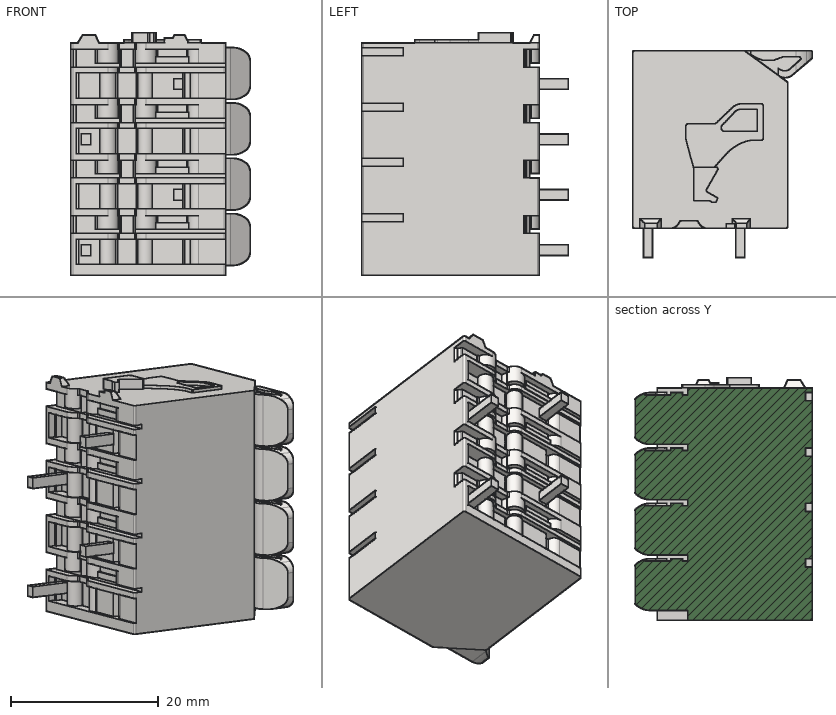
import cadquery as cq

poles = 4
pitch = 7.5
floor_top = 1.5
body_width = 21.0
body_depth = 24.05
body_height = poles * pitch + floor_top
total_height = 32.85
edge_radius = 0.25
overlap = 0.33

rim_bottom = 4.93
rim_top = 5.7
boss_bottom = 6.27
ledge_top = 7.13
recess_top = pitch + 0.62

column_xs = (5.03, 10.18, 17.25)
pocket_column_radius = 2.2 / 2
pocket_column_setback = 0.33
column_y = pocket_column_setback + pocket_column_radius
boss_radius = column_y
left_column_x, middle_column_x, right_column_x = column_xs

deep_wall_y = 1.9
recess_wall_y = 1.28
side_notch = [(0, 2.1), (0.35, 1.87), (0.35, 1.77), (0.62, 1.55), (0.8, recess_wall_y)]
pocket_left_x = 0.75
pocket_lip = 0.33
pocket_lip_y = 1.0
pocket_pad_left_x, pocket_pad_right_x = 6.35, 8.87
pocket_pad_y = 1.75
pocket_middle_left_x = 11.05
pocket_middle_wall_y = 0.62
niche_left_x = 15.15
niche_taper = 0.25
niche_wall_y = 1.35
groove_left_x = 6.65
groove_right_x = 8.7
groove_wall_y = 2.05
groove_taper = 0.23
notch_y = 1.05
notch_bevel_start_y = 0.9
notch_left_x, notch_right_x = 6.6, 8.65
notch_bevel_width = 0.25
boss_shoulder_x = 3.32
boss_shoulder_y = 1.12
block_left_x, block_right_x = 11.5, 16.0
block_lower_y, block_upper_y = 0.6, 0.82
block_step = 0.3

slot_start_y = 18.4
slot_bottom = 7.25
slot_height = 1.1
slot_depth = 0.92

pin_width = 1.25
pin_height = 1.48
pin_bottom = 2.7
pin_length = 3.95
pin_root_y = 2.25
pin_left_xs = (1.45, 13.93)

corner_start_x = 15.1
corner_end_y = 19.78
lever_tip_x = 24.3
lever_bottom = 1.35
lever_height = 7.03
lever_round_x = 22.05
lever_nose_x = 23.45
lever_shoulder_drop = 0.45
lever_shoulder_mid = (22.8, 0.13)
lever_nose_mid = (24.08, 1.05)
lever_tip_bevel = 0.15
lever_nose_drop = 1.85
lever_pocket_depth = 0.33

door_height = 0.43
leg_height = total_height - body_height
lug_height = 1.1
lug_base_depth, lug_top_depth = 1.28, 0.72
step_lug_height = 0.7
step_lug_depth = 0.62


def box(x0, x1, y0, y1, z0, z1):
    return cq.Workplane("XY").box(x1 - x0, y1 - y0, z1 - z0, centered=False).translate((x0, y0, z0))


def prism(points, z0, z1):
    return cq.Workplane("XY").workplane(offset=z0).polyline(points).close().extrude(z1 - z0)


def column(x, radius, z0, z1):
    return cq.Workplane("XY").workplane(offset=z0).center(x, column_y).circle(radius).extrude(z1 - z0)


def body_block():
    """Block with rounded upright edges and the back right corner cut off."""
    block = box(0, body_width, 0, body_depth, 0, body_height).edges("|Z").fillet(edge_radius)
    corner = [
        (corner_start_x, body_depth),
        (body_width, corner_end_y),
        (body_width + overlap, corner_end_y),
        (body_width + overlap, body_depth + overlap),
        (corner_start_x, body_depth + overlap),
    ]
    return block.cut(prism(corner, -overlap, body_height + overlap))


def plate_notch():
    """Gap between two bosses that runs through every plate above the lowest floor."""
    outline = [
        (left_column_x, -overlap),
        (left_column_x, notch_bevel_start_y),
        (notch_left_x - notch_bevel_width, notch_bevel_start_y),
        (notch_left_x, notch_y),
        (notch_right_x, notch_y),
        (notch_right_x + notch_bevel_width, notch_bevel_start_y),
        (middle_column_x, notch_bevel_start_y),
        (middle_column_x, -overlap),
    ]
    notch = prism(outline, floor_top, body_height + overlap)
    for x in (left_column_x, middle_column_x):
        notch = notch.cut(column(x, boss_radius, floor_top, body_height + overlap))
    return notch


def terminal_pocket():
    """Lower cavity of a pole, with its round columns left standing."""
    outline = [
        (pocket_left_x, -overlap),
        (pocket_left_x, pocket_lip_y),
        (pocket_left_x + pocket_lip, pocket_lip_y),
        (pocket_left_x + pocket_lip, deep_wall_y),
        (pocket_pad_left_x, deep_wall_y),
        (pocket_pad_left_x, pocket_pad_y),
        (pocket_pad_right_x, pocket_pad_y),
        (pocket_pad_right_x, deep_wall_y),
        (pocket_middle_left_x, deep_wall_y),
        (pocket_middle_left_x, pocket_middle_wall_y),
        (niche_left_x, pocket_middle_wall_y),
        (niche_left_x + niche_taper, niche_wall_y),
        (right_column_x, niche_wall_y),
        (right_column_x, pocket_column_setback),
        (body_width + overlap, pocket_column_setback),
        (body_width + overlap, -overlap),
    ]
    pocket = prism(outline, floor_top, rim_bottom)
    for x in column_xs:
        pocket = pocket.cut(column(x, pocket_column_radius, floor_top, rim_bottom))
    return pocket


def upper_recess():
    """Upper cavity of a pole, with the bosses hanging from the plate above."""
    outline = [
        (-overlap, -overlap),
        (-overlap, side_notch[0][1]),
        *side_notch,
        (groove_left_x, recess_wall_y),
        (groove_left_x + groove_taper, groove_wall_y),
        (groove_right_x - groove_taper, groove_wall_y),
        (groove_right_x, recess_wall_y),
        (body_width + overlap, recess_wall_y),
        (body_width + overlap, -overlap),
    ]
    recess = prism(outline, rim_top, recess_top)
    for x in column_xs:
        recess = recess.cut(column(x, boss_radius, boss_bottom, recess_top))
    bosses = (
        box(right_column_x, body_width + overlap, 0, deep_wall_y, boss_bottom, recess_top),
        box(boss_shoulder_x, left_column_x, boss_shoulder_y, deep_wall_y, boss_bottom, recess_top),
        box(block_left_x, block_right_x, block_lower_y, deep_wall_y, boss_bottom, ledge_top),
        box(block_left_x + block_step, block_right_x - block_step, block_upper_y, deep_wall_y,
            ledge_top, recess_top),
    )
    for boss in bosses:
        recess = recess.cut(boss)
    return recess


def side_slot():
    return box(-overlap, slot_depth, slot_start_y, body_depth + overlap, slot_bottom, slot_bottom + slot_height)


def pin(left_x):
    return box(left_x, left_x + pin_width, -pin_length, pin_root_y, pin_bottom, pin_bottom + pin_height)


def lever():
    """Release lever with rounded ends and a shallow pocket in its upper face."""
    profile = (
        cq.Workplane("XY").workplane(offset=lever_bottom)
        .moveTo(corner_start_x, body_depth)
        .lineTo(19.68, 20.7)
        .threePointArc((20.63, 20.37), (21.6, 20.73))
        .lineTo(lever_tip_x, 23.03)
        .lineTo(lever_tip_x, body_depth - lever_tip_bevel)
        .lineTo(lever_tip_x - lever_tip_bevel, body_depth)
        .close()
        .extrude(lever_height)
    )
    lever_top = lever_bottom + lever_height
    shoulder_x, shoulder_drop = lever_shoulder_mid
    nose_x, nose_drop = lever_nose_mid
    rounded = (
        cq.Workplane("XZ").workplane(offset=-body_depth)
        .moveTo(corner_start_x, lever_bottom)
        .lineTo(lever_round_x, lever_bottom)
        .threePointArc((shoulder_x, lever_bottom + shoulder_drop),
                       (lever_nose_x, lever_bottom + lever_shoulder_drop))
        .threePointArc((nose_x, lever_bottom + nose_drop), (lever_tip_x, lever_bottom + lever_nose_drop))
        .lineTo(lever_tip_x, lever_top - lever_nose_drop)
        .threePointArc((nose_x, lever_top - nose_drop), (lever_nose_x, lever_top - lever_shoulder_drop))
        .threePointArc((shoulder_x, lever_top - shoulder_drop), (lever_round_x, lever_top))
        .lineTo(corner_start_x, lever_top)
        .close()
        .extrude(body_depth)
    )
    pocket = (
        cq.Workplane("XY").workplane(offset=lever_top - lever_pocket_depth)
        .moveTo(corner_start_x, body_depth)
        .lineTo(15.95, body_depth)
        .lineTo(15.95, 23.55)
        .threePointArc((16.72, 23.1), (17.55, 22.75))
        .lineTo(19.15, 22.75)
        .lineTo(20.3, 23.2)
        .lineTo(22.6, 23.2)
        .lineTo(22.8, 22.93)
        .lineTo(21.15, 21.45)
        .threePointArc((20.63, 21.32), (19.68, 21.65))
        .lineTo(19.68, 20.7)
        .close()
        .extrude(lever_height)
    )
    return profile.intersect(rounded).cut(pocket)


def door_relief():
    """Raised car door with a window opening."""
    door = (
        cq.Workplane("XY").workplane(offset=body_height)
        .moveTo(8.25, 8.25)
        .lineTo(7.85, 9.6)
        .lineTo(7.2, 12.1)
        .lineTo(7.2, 13.83)
        .threePointArc((7.3, 14.05), (7.52, 14.15))
        .lineTo(11.2, 14.15)
        .lineTo(13.37, 16.23)
        .threePointArc((13.93, 16.65), (14.6, 16.85))
        .lineTo(17.5, 16.85)
        .lineTo(17.67, 16.7)
        .lineTo(17.67, 12.1)
        .lineTo(17.5, 11.92)
        .lineTo(16.0, 11.92)
        .threePointArc((14.22, 11.3), (12.68, 10.1))
        .lineTo(11.05, 8.25)
        .close()
        .extrude(door_height)
    )
    window = (
        cq.Workplane("XY").workplane(offset=body_height)
        .moveTo(12.35, 13.1)
        .lineTo(16.9, 13.1)
        .lineTo(16.9, 16.03)
        .lineTo(16.8, 16.13)
        .lineTo(14.7, 16.13)
        .threePointArc((14.22, 16.03), (13.85, 15.8))
        .lineTo(12.25, 14.1)
        .threePointArc((12.0, 13.57), (12.35, 13.1))
        .close()
        .extrude(door_height)
    )
    return door.cut(window)


def leg_relief():
    """Taller raised leg below the door."""
    outline = [
        (8.25, 8.25), (11.43, 8.25), (11.55, 8.0), (9.95, 5.2), (10.02, 4.95), (11.53, 4.1),
        (11.27, 3.55), (10.7, 3.55), (10.45, 3.7), (8.38, 3.7), (8.25, 3.85),
    ]
    return prism(outline, body_height, body_height + leg_height)


def tapered_lug(base_x0, base_x1, top_x0, top_x1):
    """Lug on the front edge of the top, sloping on three sides."""
    return (
        cq.Workplane("XY").workplane(offset=body_height)
        .center((base_x0 + base_x1) / 2, lug_base_depth / 2)
        .rect(base_x1 - base_x0, lug_base_depth)
        .workplane(offset=lug_height)
        .center((top_x0 + top_x1 - base_x0 - base_x1) / 2, (lug_top_depth - lug_base_depth) / 2)
        .rect(top_x1 - top_x0, lug_top_depth)
        .loft(combine=True)
    )


result = body_block().cut(plate_notch())
for pole in range(poles):
    base = (0, 0, pole * pitch)
    for cavity in (terminal_pocket(), upper_recess(), side_slot()):
        result = result.cut(cavity.translate(base))
    result = result.union(pin(pin_left_xs[pole % 2]).translate(base))
    result = result.union(lever().translate(base))

lugs = (
    tapered_lug(0.95, 3.85, 1.6, 3.35),
    tapered_lug(13.47, 15.93, 14.03, 15.45),
    box(12.68, 14.03, 0, step_lug_depth, body_height, body_height + step_lug_height),
)
for raised in (door_relief(), leg_relief()) + lugs:
    result = result.union(raised)